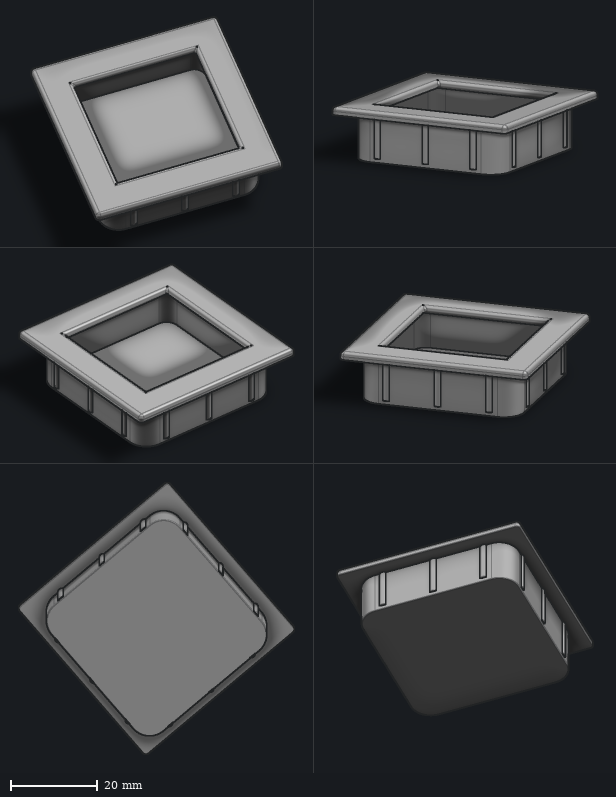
import cadquery as cq
import math

frame_side = 46.0
frame_thickness = 2.0
frame_edge_radius = 1.0
window_side = 30.0
window_corner_radius = 0.5
window_corner_end_angle = 70.0

cup_side = 39.2
cup_height = 11.0
cup_corner_radius = 5.0
cup_wall = 2.0
cup_floor = cup_wall
cavity_side = cup_side - 2 * cup_wall
cavity_corner_radius = cup_corner_radius - cup_wall

rib_radius = 1.0
rib_protrusion = 0.4
rib_bottom = 1.0
rib_spacing = 12.6
ribs_per_side = 3
side_count = 4

lower_edge_radius = 0.2

lip_radius = frame_thickness / 2
frame_bottom = cup_height
frame_middle = frame_bottom + lip_radius
frame_top = frame_bottom + frame_thickness


def window_channel(plane):
    """Straight void as thick as the frame, with its two sides bulging inward as half rounds."""
    narrow_half = window_side / 2
    wide_half = narrow_half + lip_radius
    return (
        cq.Workplane(plane)
        .moveTo(-wide_half, frame_bottom)
        .lineTo(wide_half, frame_bottom)
        .threePointArc((narrow_half, frame_middle), (wide_half, frame_top))
        .lineTo(-wide_half, frame_top)
        .threePointArc((-narrow_half, frame_middle), (-wide_half, frame_bottom))
        .close()
        .extrude(frame_side / 2, both=True)
    )


def make_window():
    """Void of the window, its corners rounded except in thin layers at the top and bottom faces."""
    sharp_window = window_channel("XZ").intersect(window_channel("YZ"))
    rounded_height = frame_thickness * math.sin(math.radians(window_corner_end_angle))
    middle_layer = (
        cq.Workplane("XY")
        .workplane(offset=frame_middle)
        .box(frame_side, frame_side, rounded_height)
    )
    outer_layers = sharp_window.cut(middle_layer)
    rounded_window = (
        sharp_window.intersect(middle_layer)
        .edges("%ELLIPSE")
        .fillet(window_corner_radius)
    )
    return rounded_window.union(outer_layers)


def make_frame():
    plate = (
        cq.Workplane("XY")
        .workplane(offset=frame_bottom)
        .rect(frame_side, frame_side)
        .extrude(frame_thickness)
        .edges("|Z")
        .fillet(frame_edge_radius)
        .faces(">Z")
        .edges()
        .fillet(frame_edge_radius)
        .faces("<Z")
        .edges()
        .fillet(lower_edge_radius)
    )
    return plate.cut(make_window())


def make_rib(place):
    """One rib on the -Y side of the cup, rooted in its wall."""
    rib_axis = -cup_side / 2 - rib_protrusion + rib_radius
    return (
        cq.Workplane("XY")
        .workplane(offset=rib_bottom)
        .center(place, rib_axis)
        .circle(rib_radius)
        .extrude(cup_height - rib_bottom)
        .faces("<Z")
        .edges()
        .fillet(lower_edge_radius)
    )


def make_cup():
    cup = (
        cq.Workplane("XY")
        .rect(cup_side, cup_side)
        .extrude(cup_height)
        .edges("|Z")
        .fillet(cup_corner_radius)
        .faces("<Z")
        .edges()
        .fillet(lower_edge_radius)
    )
    for side in range(side_count):
        turn = side * 360 / side_count
        for index in range(ribs_per_side):
            place = (index - (ribs_per_side - 1) / 2) * rib_spacing
            rib = make_rib(place).rotate((0, 0, 0), (0, 0, 1), turn)
            cup = cup.union(rib)
    cavity = (
        cq.Workplane("XY")
        .workplane(offset=cup_floor)
        .rect(cavity_side, cavity_side)
        .extrude(cup_height - cup_floor)
        .edges("|Z")
        .fillet(cavity_corner_radius)
    )
    return cup.cut(cavity)


frame = make_frame()
cup = make_cup()
result = cq.Compound.makeCompound([frame.solids().val(), cup.solids().val()])